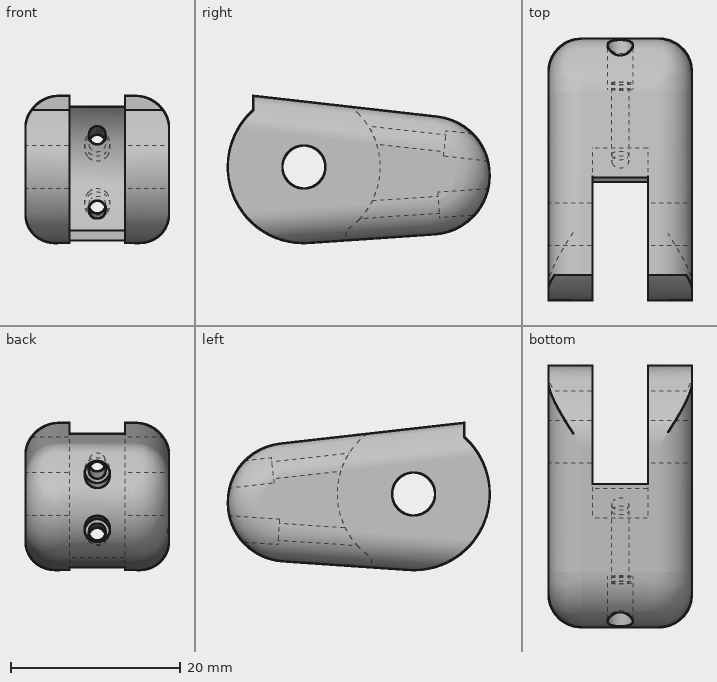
import cadquery as cq
import math

width = 17.0
edge_radius = 4.0

front_radius = 9.0
tail_radius = 7.0
overall_length = 30.98
tail_y = overall_length - front_radius - tail_radius
tail_z = -1.0
brow_y = -6.0
brow_z = 8.43

slot_width = 6.5
slot_flat_y = 5.0
pin_hole_diameter = 5.05

cord_diameter = 2.0
cord_sink_diameter = 3.0
cord_length = 8.52
upper_cord_start = (8.18, 3.75)
lower_cord_start = (7.45, -5.05)

brow_dy = tail_y - brow_y
brow_dz = brow_z - tail_z
top_slope = math.atan2(brow_dz, brow_dy) - math.asin(tail_radius / math.hypot(brow_dy, brow_dz))
center_distance = math.hypot(tail_y, tail_z)
bottom_slope = math.asin((front_radius - tail_radius) / center_distance) + math.atan2(tail_z, tail_y)

clearance = 2 * overall_length


def side_prism(sketch, thickness):
    """Extrude a YZ outline symmetrically about the middle of the part."""
    return sketch.extrude(thickness / 2, both=True)


def side_box(y_min, y_max, z_min, z_max, thickness):
    sketch = cq.Workplane("YZ").moveTo((y_min + y_max) / 2, (z_min + z_max) / 2)
    return side_prism(sketch.rect(y_max - y_min, z_max - z_min), thickness)


def side_cylinder(radius, thickness):
    return side_prism(cq.Workplane("YZ").circle(radius), thickness)


def rounded_wedge():
    """Tapered block with a round tail, left long at the front for trimming."""
    front_y = -1.5 * front_radius
    top_tangent = (
        tail_y + tail_radius * math.sin(top_slope),
        tail_z + tail_radius * math.cos(top_slope),
    )
    bottom_tangent = (
        tail_y + tail_radius * math.sin(bottom_slope),
        tail_z - tail_radius * math.cos(bottom_slope),
    )
    top_front_z = top_tangent[1] + (top_tangent[0] - front_y) * math.tan(top_slope)
    bottom_front_z = bottom_tangent[1] - (bottom_tangent[0] - front_y) * math.tan(bottom_slope)
    outline = (
        cq.Workplane("YZ")
        .moveTo(front_y, bottom_front_z)
        .lineTo(*bottom_tangent)
        .threePointArc((tail_y + tail_radius, tail_z), top_tangent)
        .lineTo(front_y, top_front_z)
        .close()
    )
    return side_prism(outline, width).faces("<X or >X").edges("not <Y").fillet(edge_radius)


def front_envelope():
    """Round front end, with the brow standing proud of it above the pin."""
    bottom_tangent_y = front_radius * math.sin(bottom_slope)
    rear = side_box(bottom_tangent_y, clearance, -clearance, clearance, width)
    brow = side_box(brow_y, clearance, 0, clearance, width)
    return side_cylinder(front_radius, width).union(rear).union(brow)


def fork_slot():
    """Slot with a round floor about the pin, opened flat at top and bottom."""
    opening = side_box(-clearance, slot_flat_y, -clearance, clearance, slot_width)
    return side_cylinder(front_radius, slot_width).union(opening)


def cord_hole(start, slope):
    """Small bore from the slot floor, widened for the rest of the way out."""
    direction = cq.Vector(0, math.cos(slope), math.sin(slope))
    floor_point = cq.Vector(0, *start)
    step_point = floor_point + direction * cord_length
    inner_point = floor_point - direction * cord_diameter
    bore = cq.Solid.makeCylinder(cord_diameter / 2, overall_length, inner_point, direction)
    sink = cq.Solid.makeCylinder(cord_sink_diameter / 2, overall_length, step_point, direction)
    return cq.Workplane(obj=bore).union(cq.Workplane(obj=sink))


body = rounded_wedge().intersect(front_envelope())
body = body.cut(fork_slot())
body = body.cut(side_cylinder(pin_hole_diameter / 2, width))
body = body.cut(cord_hole(upper_cord_start, -top_slope))
result = body.cut(cord_hole(lower_cord_start, bottom_slope))